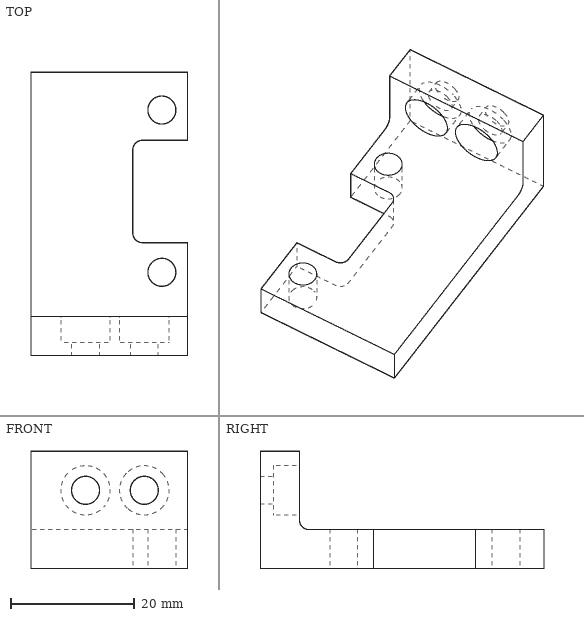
import cadquery as cq

width = 25.4
length = 45.95
height = 19.05
thickness = 6.35

corner_radius = 1.5
hole_diameter = 4.5

notch_floor_x = 16.55
notch_front_y = 18.35
notch_back_y = 34.9

base_hole_x = 21.25
base_hole_ys = (13.5, 39.8)
wall_hole_xs = (8.85, 18.4)
wall_hole_z = 12.7

counterbore_diameter = 8.0
counterbore_depth = 4.25


def make_bracket():
    """L profile in the YZ plane, extruded along X, with a filleted inside corner."""
    return (
        cq.Workplane("YZ")
        .moveTo(0, 0)
        .lineTo(length, 0)
        .lineTo(length, thickness)
        .lineTo(thickness + corner_radius, thickness)
        .radiusArc((thickness, thickness + corner_radius), corner_radius)
        .lineTo(thickness, height)
        .lineTo(0, height)
        .close()
        .extrude(width)
    )


def make_notch():
    """Cutter open toward +X, rounded at its two inner corners."""
    return (
        cq.Workplane("XY")
        .box(width - notch_floor_x, notch_back_y - notch_front_y, thickness, centered=False)
        .edges("|Z and <X")
        .fillet(corner_radius)
        .translate((notch_floor_x, notch_front_y, 0))
    )


def make_base_holes():
    """Vertical through holes on either side of the notch."""
    centres = [(base_hole_x, y) for y in base_hole_ys]
    return cq.Workplane("XY").pushPoints(centres).circle(hole_diameter / 2).extrude(thickness)


def make_wall_holes():
    """Through holes along Y in the upright wall, counterbored from its inner face."""
    centres = [(x, wall_hole_z) for x in wall_hole_xs]
    holes = cq.Workplane("XZ").pushPoints(centres).circle(hole_diameter / 2).extrude(-thickness)
    counterbores = (
        cq.Workplane("XZ", origin=(0, thickness, 0))
        .pushPoints(centres)
        .circle(counterbore_diameter / 2)
        .extrude(counterbore_depth)
    )
    return holes.union(counterbores)


result = make_bracket().cut(make_notch()).cut(make_base_holes()).cut(make_wall_holes())